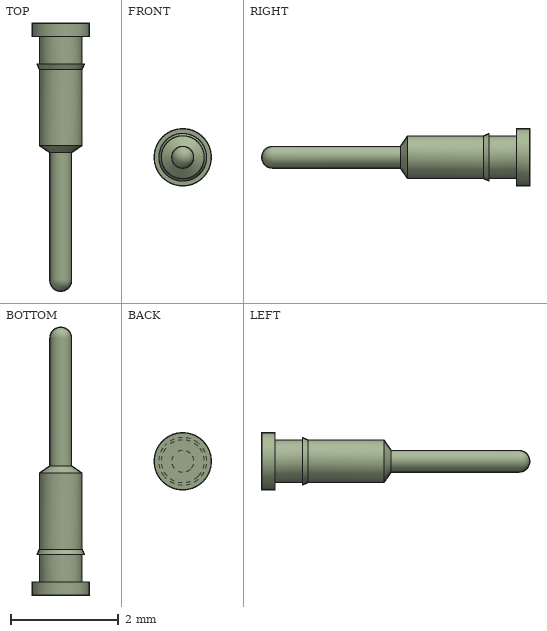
import cadquery as cq

total_length = 5.0
head_diameter = 1.07
head_length = 0.25
body_diameter = 0.8
barb_diameter = 0.89
pin_diameter = 0.41

barb_start = 0.76
barb_end = 0.86
shoulder_start = 2.28
shoulder_end = 2.415

head_radius = head_diameter / 2
body_radius = body_diameter / 2
barb_radius = barb_diameter / 2
pin_radius = pin_diameter / 2


def cylinder(radius, start, end):
    """Cylinder along -Y between two distances from the head face."""
    return cq.Workplane("XZ", origin=(0, -start, 0)).circle(radius).extrude(end - start)


def cone(start_radius, end_radius, start, end):
    """Truncated cone along -Y between two distances from the head face."""
    profile = (
        cq.Workplane("XY")
        .moveTo(0, -start)
        .lineTo(start_radius, -start)
        .lineTo(end_radius, -end)
        .lineTo(0, -end)
        .close()
    )
    return profile.revolve(360, (0, 0, 0), (0, 1, 0))


head = cylinder(head_radius, 0, head_length)
body = cylinder(body_radius, head_length, shoulder_start)

barb = cone(barb_radius, body_radius, barb_start, barb_end)

shoulder = cone(body_radius, pin_radius, shoulder_start, shoulder_end)

tip_start = total_length - pin_radius
pin = cylinder(pin_radius, shoulder_end, tip_start)
tip = cq.Workplane("XY").sphere(pin_radius).translate((0, -tip_start, 0))

result = head.union(body).union(barb).union(shoulder).union(pin).union(tip)